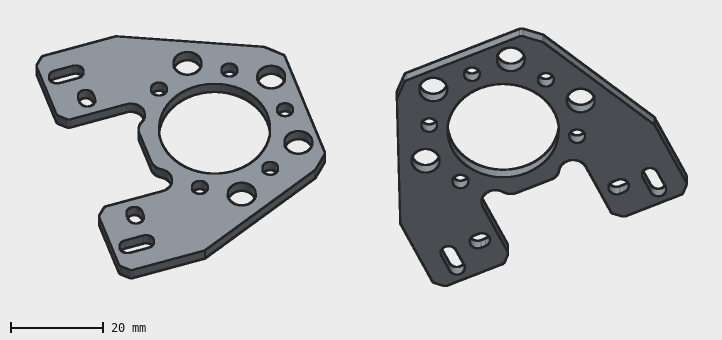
import cadquery as cq
import math

width = 60.4
thickness = 3.0
top_y = 20.55
bottom_y = top_y - 51.65
shoulder_y = -12.3
top_flat_half = 13.85
top_corner_x = 17.4
top_corner_y = 17.05
foot_chamfer = 2.0
corner_radius = 1.0

bore_diameter = 24.0
small_hole_diameter = 3.45
small_circle_radius = 16.0
large_hole_diameter = 6.05
large_circle_radius = 18.4

slot_width = small_hole_diameter
slot_top_y = -21.85
long_slot_x = 23.9
long_slot_length = 7.7
short_slot_x = 16.5
short_slot_length = 4.45

relief_radius = large_hole_diameter / 2
relief_x = large_circle_radius * math.cos(math.radians(60))
relief_y = -large_circle_radius * math.sin(math.radians(60))
web_y = -15.75
web_radius = 3.0
opening_half = relief_x + relief_radius


def polar_points(radius, angles):
    """Points on a circle about the bore axis, at angles in degrees."""
    return [
        (radius * math.cos(math.radians(a)), radius * math.sin(math.radians(a)))
        for a in angles
    ]


def make_plate():
    """Symmetrical plate with two feet and a relieved opening between them."""
    arc_center_y = web_y + web_radius
    center_distance = web_radius + relief_radius
    arc_center_x = relief_x - math.sqrt(center_distance**2 - (arc_center_y - relief_y) ** 2)
    touch_share = web_radius / center_distance
    touch_x = arc_center_x + touch_share * (relief_x - arc_center_x)
    touch_y = arc_center_y + touch_share * (relief_y - arc_center_y)
    touch_angle = math.atan2(touch_y - arc_center_y, touch_x - arc_center_x)
    middle_angle = (touch_angle - math.pi / 2) / 2
    arc_middle = (
        arc_center_x + web_radius * math.cos(middle_angle),
        arc_center_y + web_radius * math.sin(middle_angle),
    )

    half = (
        cq.Workplane("XY", origin=(0, 0, -thickness / 2))
        .moveTo(0, top_y)
        .lineTo(top_flat_half, top_y)
        .lineTo(top_corner_x, top_corner_y)
        .lineTo(width / 2, shoulder_y)
        .lineTo(width / 2, bottom_y + foot_chamfer)
        .lineTo(width / 2 - foot_chamfer, bottom_y)
        .lineTo(opening_half + foot_chamfer, bottom_y)
        .lineTo(opening_half, bottom_y + foot_chamfer)
        .lineTo(opening_half, relief_y)
        .threePointArc((relief_x, relief_y + relief_radius), (touch_x, touch_y))
        .threePointArc(arc_middle, (arc_center_x, web_y))
        .lineTo(0, web_y)
        .close()
        .extrude(thickness)
    )
    plate = half.union(half.mirror("YZ")).clean()

    foot_corners = plate.edges("|Z").edges(
        cq.selectors.BoxSelector(
            (-width, bottom_y - foot_chamfer, -thickness),
            (width, bottom_y + 2 * foot_chamfer, thickness),
        )
    )
    plate = foot_corners.fillet(corner_radius)
    top_corners = plate.edges("|Z").edges(
        cq.selectors.BoxSelector((-width, 0, -thickness), (width, 2 * top_y, thickness))
    )
    return top_corners.fillet(corner_radius)


def drill(plate, points, diameter):
    """Drill through holes at the given points."""
    return plate.cut(
        cq.Workplane("XY").pushPoints(points).circle(diameter / 2).extrude(thickness, both=True)
    )


def cut_slots(plate, x, y, length, angle):
    """Cut a mirrored pair of through slots centred at +x and -x."""
    return plate.cut(
        cq.Workplane("XY")
        .pushPoints([(x, y), (-x, y)])
        .slot2D(length, slot_width, angle)
        .extrude(thickness, both=True)
    )


result = make_plate()
result = drill(result, [(0, 0)], bore_diameter)
small_holes = polar_points(small_circle_radius, [-30, 30, 90, 150, 210])
result = drill(result, small_holes, small_hole_diameter)
large_holes = polar_points(large_circle_radius, [0, 60, 120, 180])
result = drill(result, large_holes, large_hole_diameter)
result = cut_slots(result, long_slot_x, slot_top_y - long_slot_length / 2, long_slot_length, 90)
result = cut_slots(result, short_slot_x, slot_top_y - slot_width / 2, short_slot_length, 0)